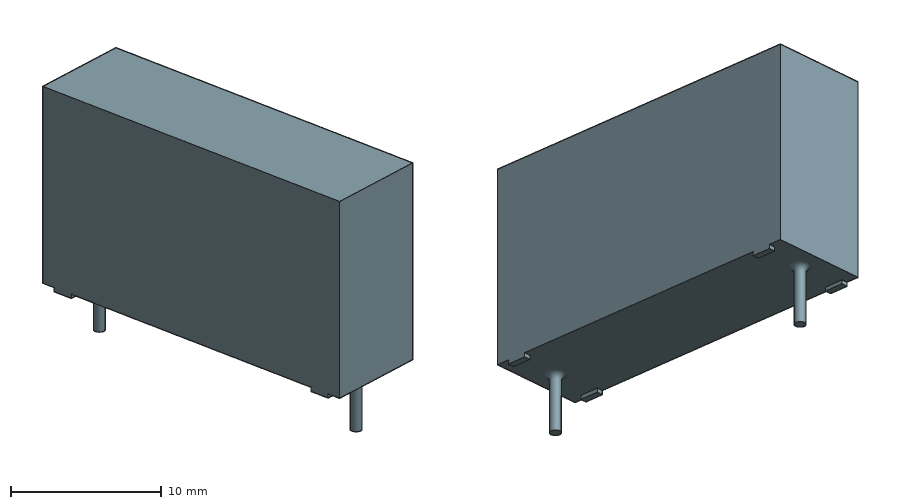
import cadquery as cq

body_length = 26.0
body_width = 7.5
total_height = 19.0

foot_length = 1.5
foot_width = 0.5
foot_height = 0.3

lead_diameter = 0.8
lead_radius = lead_diameter / 2
lead_spacing = 22.5
lead_below_feet = 4.0
flare_radius = 0.5

lead_length = foot_height + lead_below_feet
body_height = total_height - lead_length
lead_positions = (-lead_spacing / 2, lead_spacing / 2)


def make_body():
    return cq.Workplane("XY").box(body_length, body_width, body_height, centered=(True, True, False))


def make_feet(x):
    """Pair of feet at one lead, flush with the two long sides of the body."""
    foot_offset = (body_width - foot_width) / 2
    return (
        cq.Workplane("XY")
        .pushPoints([(x, -foot_offset), (x, foot_offset)])
        .rect(foot_length, foot_width)
        .extrude(-foot_height)
    )


def make_lead(x):
    """Lead revolved about its own axis, with a quarter-round flare at the top."""
    return (
        cq.Workplane("XZ", origin=(x, 0, 0))
        .lineTo(lead_radius + flare_radius, 0)
        .radiusArc((lead_radius, -flare_radius), -flare_radius)
        .lineTo(lead_radius, -lead_length)
        .lineTo(0, -lead_length)
        .close()
        .revolve(360, (0, 0, 0), (0, 1, 0))
    )


result = make_body()
for lead_x in lead_positions:
    result = result.union(make_feet(lead_x)).union(make_lead(lead_x))